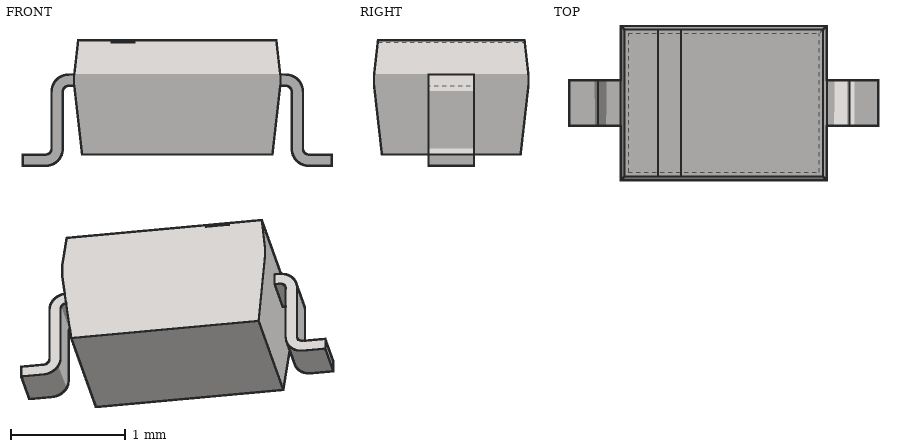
import cadquery as cq
import math

OVERALL_LENGTH = 2.7
OVERALL_HEIGHT = 1.1

HOUSING_LENGTH = 1.8
HOUSING_WIDTH = 1.35
DRAFT_ANGLE = 6.5

LEAD_THICKNESS = 0.1
LEAD_WIDTH = 0.4
INNER_BEND_RADIUS = 0.05
OUTER_BEND_RADIUS = INNER_BEND_RADIUS + LEAD_THICKNESS
FOOT_REACH = 0.25

STRIPE_LENGTH = 0.202
STRIPE_DEPTH = 0.02
STRIPE_CENTER_X = -0.472

HOUSING_BOTTOM_Z = LEAD_THICKNESS
BAND_TOP_Z = 0.8
BAND_BOTTOM_Z = BAND_TOP_Z - LEAD_THICKNESS
TOE_X = OVERALL_LENGTH / 2
UPRIGHT_OUTER_X = TOE_X - FOOT_REACH
UPRIGHT_INNER_X = UPRIGHT_OUTER_X - LEAD_THICKNESS
HOUSING_END_X = HOUSING_LENGTH / 2


def make_tapered_block(start_z, height):
    """Block that narrows from the band section; a negative height goes down."""
    return (
        cq.Workplane("XY")
        .workplane(offset=start_z)
        .rect(HOUSING_LENGTH, HOUSING_WIDTH)
        .extrude(height, taper=DRAFT_ANGLE)
    )


def make_moulding():
    """Full moulded outline, before the stripe is taken out of its top."""
    band = (
        cq.Workplane("XY")
        .workplane(offset=BAND_BOTTOM_Z)
        .rect(HOUSING_LENGTH, HOUSING_WIDTH)
        .extrude(LEAD_THICKNESS)
    )
    upper_block = make_tapered_block(BAND_TOP_Z, OVERALL_HEIGHT - BAND_TOP_Z)
    lower_block = make_tapered_block(BAND_BOTTOM_Z, HOUSING_BOTTOM_Z - BAND_BOTTOM_Z)
    return band.union(upper_block).union(lower_block)


def make_stripe(moulding):
    """Stripe across the full top width, its ends following the drafted sides."""
    stripe_block = cq.Workplane("XY").box(
        STRIPE_LENGTH, HOUSING_WIDTH, STRIPE_DEPTH, centered=(True, True, False)
    )
    stripe_bottom_z = OVERALL_HEIGHT - STRIPE_DEPTH
    return moulding.intersect(stripe_block.translate((STRIPE_CENTER_X, 0, stripe_bottom_z)))


def make_lead():
    """Lead at the +X end: flat arm from the housing, upright, and foot."""
    def bend(profile, center_x, center_z, radius, mid_angle, end_angle):
        points = []
        for angle in (mid_angle, end_angle):
            turn = math.radians(angle)
            points.append((center_x + radius * math.cos(turn), center_z + radius * math.sin(turn)))
        return profile.threePointArc(*points)

    shoulder_x = UPRIGHT_OUTER_X - OUTER_BEND_RADIUS
    shoulder_z = BAND_TOP_Z - OUTER_BEND_RADIUS
    heel_x = UPRIGHT_INNER_X + OUTER_BEND_RADIUS
    heel_z = OUTER_BEND_RADIUS

    profile = cq.Workplane("XZ").moveTo(HOUSING_END_X, BAND_TOP_Z).lineTo(shoulder_x, BAND_TOP_Z)
    profile = bend(profile, shoulder_x, shoulder_z, OUTER_BEND_RADIUS, 45, 0)
    profile = profile.lineTo(UPRIGHT_OUTER_X, heel_z)
    profile = bend(profile, heel_x, heel_z, INNER_BEND_RADIUS, 225, 270)
    profile = profile.lineTo(TOE_X, LEAD_THICKNESS).lineTo(TOE_X, 0).lineTo(heel_x, 0)
    profile = bend(profile, heel_x, heel_z, OUTER_BEND_RADIUS, 225, 180)
    profile = profile.lineTo(UPRIGHT_INNER_X, shoulder_z)
    profile = bend(profile, shoulder_x, shoulder_z, INNER_BEND_RADIUS, 45, 90)
    profile = profile.lineTo(HOUSING_END_X, BAND_BOTTOM_Z).close()
    return profile.extrude(LEAD_WIDTH / 2, both=True)


moulding = make_moulding()
stripe = make_stripe(moulding)
housing = moulding.cut(stripe)

leads = []
for turn_angle in (0, 180):
    leads.append(make_lead().rotate((0, 0, 0), (0, 0, 1), turn_angle).val())

result = cq.Compound.makeCompound([housing.val(), stripe.val(), *leads])